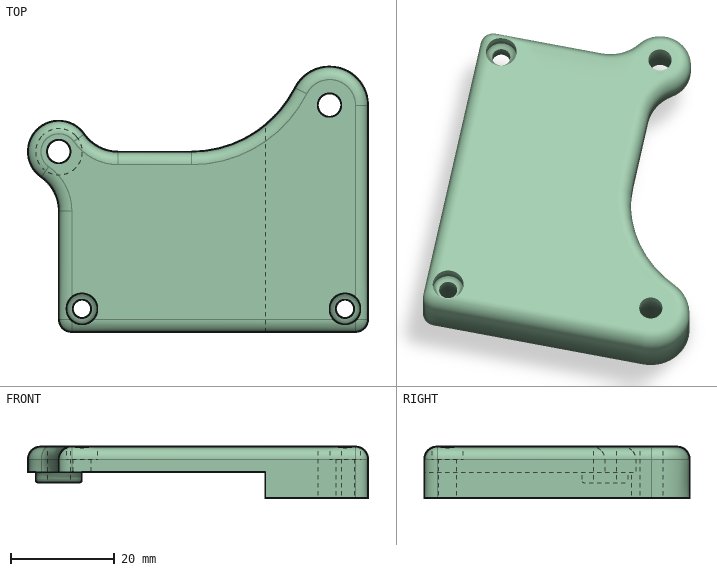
import cadquery as cq
import math

total_height = 10.0
plate_thickness = 5.0
plate_bottom = total_height - plate_thickness
edge_radius = 2.5

plate_width = 60.0
back_edge_y = 35.0

left_ear_radius = 6.0
left_ear = (0.0, back_edge_y)
left_ear_blend = 8.0

right_ear_radius = 7.5
right_ear = (plate_width - right_ear_radius, 44.0)
right_ear_blend = 22.5

foot_length = 20.0

ear_hole_diameter = 4.5
screw_hole_diameter = 3.5
counterbore_diameter = 6.0
counterbore_depth = 2.5
screw_inset = 4.5
boss_diameter = 9.0
boss_height = 2.0
boss_edge_radius = 0.5

blend_reach = math.sqrt((left_ear_radius + left_ear_blend) ** 2 - left_ear_blend ** 2)
side_blend = (-left_ear_blend, back_edge_y - blend_reach)
back_blend = (blend_reach, back_edge_y + left_ear_blend)
right_blend_y = back_edge_y + right_ear_blend
right_blend_reach = math.sqrt(
    (right_ear_radius + right_ear_blend) ** 2 - (right_blend_y - right_ear[1]) ** 2
)
right_blend = (right_ear[0] - right_blend_reach, right_blend_y)


def toward(center, target, radius):
    """Point on a circle in the direction of the target point."""
    angle = math.atan2(target[1] - center[1], target[0] - center[0])
    return (center[0] + radius * math.cos(angle), center[1] + radius * math.sin(angle))


def arc_middle(center, start, end, radius):
    """Middle point of the shorter arc between two points of a circle."""
    chord_middle = ((start[0] + end[0]) / 2, (start[1] + end[1]) / 2)
    return toward(center, chord_middle, radius)


def outline_prism():
    """Plate outline extruded over the full height, with rounded front corners."""
    right_edge_end = (plate_width, right_ear[1])
    right_ear_end = toward(right_ear, right_blend, right_ear_radius)
    right_blend_end = (right_blend[0], back_edge_y)
    back_blend_start = (back_blend[0], back_edge_y)
    left_ear_start = toward(left_ear, back_blend, left_ear_radius)
    left_ear_end = toward(left_ear, side_blend, left_ear_radius)
    left_edge_start = (0.0, side_blend[1])

    right_ear_middle = arc_middle(right_ear, right_edge_end, right_ear_end, right_ear_radius)
    right_blend_middle = arc_middle(right_blend, right_ear_end, right_blend_end, right_ear_blend)
    back_blend_middle = arc_middle(back_blend, back_blend_start, left_ear_start, left_ear_blend)
    side_blend_middle = arc_middle(side_blend, left_ear_end, left_edge_start, left_ear_blend)
    outer_diagonal = (left_ear[0] - left_ear_radius, left_ear[1] + left_ear_radius)
    left_ear_middle = toward(left_ear, outer_diagonal, left_ear_radius)

    return (
        cq.Workplane("XY")
        .moveTo(0, 0)
        .lineTo(plate_width, 0)
        .lineTo(*right_edge_end)
        .threePointArc(right_ear_middle, right_ear_end)
        .threePointArc(right_blend_middle, right_blend_end)
        .lineTo(*back_blend_start)
        .threePointArc(back_blend_middle, left_ear_start)
        .threePointArc(left_ear_middle, left_ear_end)
        .threePointArc(side_blend_middle, left_edge_start)
        .close()
        .extrude(total_height)
        .faces("<Y")
        .edges("|Z")
        .fillet(edge_radius)
    )


def make_body():
    """Plate with a rounded top edge and a foot that follows its outline."""
    block = outline_prism().faces(">Z").edges().fillet(edge_radius)
    foot_start = plate_width - foot_length
    outline_left = left_ear[0] - left_ear_radius
    outline_back = right_ear[1] + right_ear_radius
    relief = (
        cq.Workplane("XY")
        .moveTo(outline_left, 0)
        .lineTo(foot_start, 0)
        .lineTo(foot_start, outline_back)
        .lineTo(outline_left, outline_back)
        .close()
        .extrude(plate_bottom)
    )
    return block.cut(relief)


def make_boss():
    """Locating boss under the left ear, rounded at its lower rim."""
    return (
        cq.Workplane("XY")
        .workplane(offset=plate_bottom - boss_height)
        .center(*left_ear)
        .circle(boss_diameter / 2)
        .extrude(boss_height)
        .faces("<Z")
        .edges()
        .fillet(boss_edge_radius)
    )


def drill(center, diameter, bottom=0.0):
    """Cutter for a round hole open at the top."""
    return (
        cq.Workplane("XY")
        .workplane(offset=bottom)
        .center(*center)
        .circle(diameter / 2)
        .extrude(total_height - bottom)
    )


result = make_body().union(make_boss())

for ear in (left_ear, right_ear):
    result = result.cut(drill(ear, ear_hole_diameter))

for screw_x in (screw_inset, plate_width - screw_inset):
    screw = (screw_x, screw_inset)
    result = result.cut(drill(screw, screw_hole_diameter))
    result = result.cut(drill(screw, counterbore_diameter, total_height - counterbore_depth))